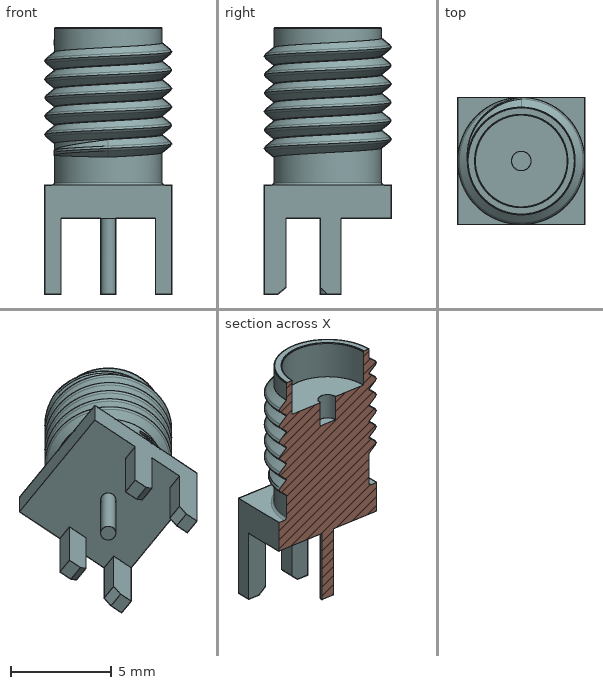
import cadquery as cq
import math

total_height = 13.34
base_side = 6.35
base_top = 5.47
base_bottom = 3.8

barrel_radius = 2.7
barrel_foot_fillet = 0.13
bore_radius = 2.3
bore_depth = 1.95
rim_chamfer = 0.04
contact_hole_diameter = 0.97
contact_hole_depth = 1.33

thread_pitch = 0.92
thread_turns = 6
thread_crest_radius = 3.17
thread_shoulder_drop = 0.08
thread_root_radius = barrel_radius - 0.01
thread_root_width = 0.91
thread_shoulder_width = 0.24
thread_start_z = 7.07
thread_fade_turns = 0.25
thread_tip_fraction = 0.05
points_per_turn = 24

leg_thickness = 0.81
corner_leg_depth = 1.1
middle_leg_depth = 1.04
middle_leg_front = -0.37
corner_leg_chamfer = 0.43
middle_leg_chamfer = 0.36
leg_chamfer_height = 0.35
pin_diameter = 0.76


def thread_corners(turn):
    """Corners of the thread's blunted V at a place measured in turns from its lower end at -X."""
    from_end = min(turn, thread_turns - turn)
    size = max(min(from_end / thread_fade_turns, 1), thread_tip_fraction)
    crest_radius = thread_root_radius + size * (thread_crest_radius - thread_root_radius)
    half_shoulder = thread_shoulder_width / 2
    half_root = half_shoulder + size * (thread_root_width - thread_shoulder_width) / 2
    shoulder_radius = crest_radius - size * thread_shoulder_drop
    profile = [
        (thread_root_radius, -half_root),
        (shoulder_radius, -half_shoulder),
        (crest_radius, 0),
        (shoulder_radius, half_shoulder),
        (thread_root_radius, half_root),
    ]
    angle = math.pi + 2 * math.pi * turn
    middle_z = thread_start_z + thread_pitch * turn
    return [
        cq.Vector(radius * math.cos(angle), radius * math.sin(angle), middle_z + rise)
        for radius, rise in profile
    ]


def thread_piece_faces(first_turn, last_turn):
    """The ruled side faces of one stretch of thread."""
    steps = math.ceil((last_turn - first_turn) * points_per_turn)
    turns = [first_turn + (last_turn - first_turn) * i / steps for i in range(steps + 1)]
    corner_paths = zip(*(thread_corners(turn) for turn in turns))
    edges = [cq.Edge.makeSpline(list(path)) for path in corner_paths]
    return [cq.Face.makeRuledSurface(edges[i - 1], edges[i]) for i in range(len(edges))]


def thread_end_face(turn):
    return cq.Face.makeFromWires(cq.Wire.makePolygon(thread_corners(turn), close=True))


def make_thread():
    """Right-hand thread whose height fades to almost nothing over a quarter turn at each end."""
    fade_end = thread_turns - thread_fade_turns
    faces = [thread_end_face(0), thread_end_face(thread_turns)]
    for first, last in [(0, thread_fade_turns), (thread_fade_turns, fade_end), (fade_end, thread_turns)]:
        faces += thread_piece_faces(first, last)
    return cq.Solid.makeSolid(cq.Shell.makeShell(faces)).fix()


def make_base_and_barrel():
    base = (
        cq.Workplane("XY", origin=(0, 0, base_bottom))
        .rect(base_side, base_side)
        .extrude(base_top - base_bottom)
    )
    barrel = (
        cq.Workplane("XY", origin=(0, 0, base_top))
        .circle(barrel_radius)
        .extrude(total_height - base_top)
        .faces(">Z")
        .workplane()
        .circle(bore_radius)
        .cutBlind(-bore_depth)
        .faces(">Z")
        .edges()
        .chamfer(rim_chamfer)
    )
    foot = cq.selectors.BoxSelector(
        (-barrel_radius - 0.13, -barrel_radius - 0.13, base_top - 0.01),
        (barrel_radius + 0.13, barrel_radius + 0.13, base_top + 0.01),
        boundingbox=True,
    )
    return base.union(barrel).edges(foot).fillet(barrel_foot_fillet)


def make_leg(side, plain_y, chamfered_y, chamfer_depth):
    """Leg flush with the left (side -1) or right (+1) face, its foot chamfered at chamfered_y."""
    outer_x = side * base_side / 2
    toward_plain = math.copysign(1, plain_y - chamfered_y)
    return (
        cq.Workplane("YZ", origin=(outer_x, 0, 0))
        .moveTo(plain_y, base_bottom)
        .lineTo(plain_y, 0)
        .lineTo(chamfered_y + toward_plain * chamfer_depth, 0)
        .lineTo(chamfered_y, leg_chamfer_height)
        .lineTo(chamfered_y, base_bottom)
        .close()
        .extrude(-side * leg_thickness)
    )


contact_hole = (
    cq.Workplane("XY", origin=(0, 0, total_height - bore_depth))
    .circle(contact_hole_diameter / 2)
    .extrude(-contact_hole_depth)
)
pin = cq.Workplane("XY").circle(pin_diameter / 2).extrude(base_bottom)

result = make_base_and_barrel().union(cq.Workplane(make_thread())).union(pin)
for side in (-1, 1):
    front_y = -base_side / 2
    corner_leg = make_leg(side, front_y, front_y + corner_leg_depth, corner_leg_chamfer)
    middle_leg = make_leg(side, middle_leg_front + middle_leg_depth, middle_leg_front, middle_leg_chamfer)
    result = result.union(corner_leg).union(middle_leg)
result = result.cut(contact_hole)